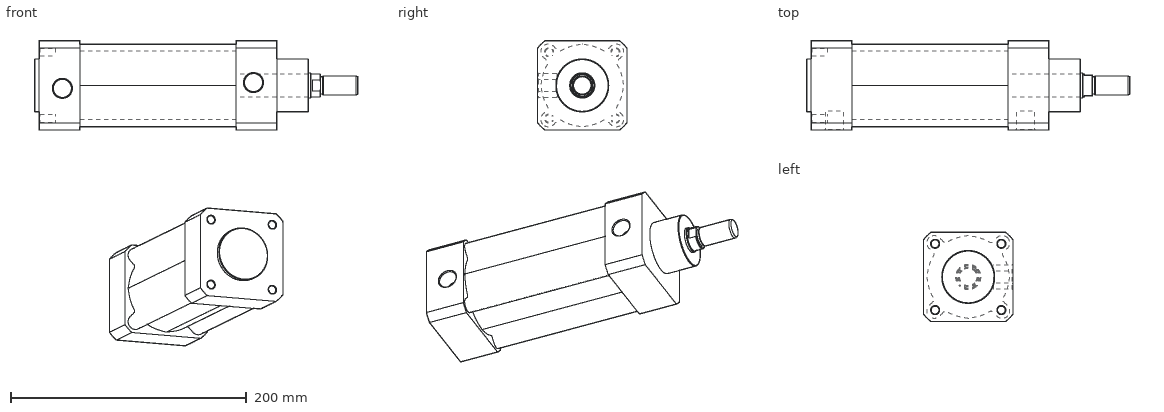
import cadquery as cq
import math

overall_length = 274.0
cap_width = 76.0
cap_length = 34.5
cap_corner_cut = 6.3
barrel_length = 132.3
spigot_length = 3.8
nose_length = 26.9
spigot_radius = 22.5
spigot_chamfer = 0.5

rear_cap_start = spigot_length
barrel_start = rear_cap_start + cap_length
front_cap_start = barrel_start + barrel_length
front_cap_end = front_cap_start + cap_length
nose_end = front_cap_end + nose_length

port_radius = 7.7
port_depth = 16.5
port_chamfer = 0.8
port_inset = 19.7
port_offset = 2.5

fixing_hole_spacing = 56.2
fixing_hole_radius = 3.3
fixing_hole_depth = 13.7
fixing_hole_chamfer = 0.5

barrel_radius = 34.5
ridge_half_width = 6.3
rib_radius = 6.3
rib_centre = 28.8
neck_fillet = 2.0

wiper_radius = 10.7
wiper_length = 2.2
wiper_chamfer = 0.5

rod_radius = 10.0
rod_flat_width = 17.5
rod_flat_gap = 1.0
rod_flat_start = nose_end + wiper_length + rod_flat_gap
rod_shoulder = 242.2
rod_shoulder_chamfer = 0.5
undercut_radius = 7.5
undercut_length = 1.6
thread_start = rod_shoulder + undercut_length
thread_radius = 8.2
thread_chamfer_length = 1.6
thread_chamfer_depth = 0.8


def axial_cylinder(radius, start, end):
    return cq.Workplane("YZ", origin=(start, 0, 0)).circle(radius).extrude(end - start)


def cap_block(start):
    """Square block whose corners are turned to a common diameter."""
    half_width = cap_width / 2
    corner_radius = math.hypot(half_width, half_width - cap_corner_cut)
    square = cq.Workplane("YZ", origin=(start, 0, 0)).rect(cap_width, cap_width).extrude(cap_length)
    return square.intersect(axial_cylinder(corner_radius, start, start + cap_length))


def chamfered_hole(plane, radius, depth, chamfer):
    """Cutter for a blind hole along the normal of the plane, with a chamfered mouth."""
    bore = cq.Workplane(plane).circle(radius).extrude(depth)
    mouth = cq.Workplane(plane).circle(radius + chamfer).workplane(offset=chamfer).circle(radius).loft()
    return bore.union(mouth)


def port(x, z):
    mouth = cq.Plane(origin=(x, -cap_width / 2, z), xDir=(1, 0, 0), normal=(0, 1, 0))
    return chamfered_hole(mouth, port_radius, port_depth, port_chamfer)


def make_rear_cap():
    spigot = axial_cylinder(spigot_radius, 0, spigot_length).faces("<X").chamfer(spigot_chamfer)
    cap = cap_block(rear_cap_start).union(spigot)
    cap = cap.cut(port(rear_cap_start + port_inset, -port_offset))
    half_spacing = fixing_hole_spacing / 2
    for y_side in (-1, 1):
        for z_side in (-1, 1):
            centre = (rear_cap_start, y_side * half_spacing, z_side * half_spacing)
            mouth = cq.Plane(origin=centre, xDir=(0, 1, 0), normal=(1, 0, 0))
            hole = chamfered_hole(mouth, fixing_hole_radius, fixing_hole_depth, fixing_hole_chamfer)
            cap = cap.cut(hole)
    return cap


def turned(point, degrees):
    """Point of the YZ section turned about the cylinder axis."""
    angle = math.radians(degrees)
    y, z = point
    return (y * math.cos(angle) - z * math.sin(angle), y * math.sin(angle) + z * math.cos(angle))


def polar(radius, angle):
    return (radius * math.cos(angle), radius * math.sin(angle))


def make_barrel():
    flat_angle = math.asin(ridge_half_width / barrel_radius)
    flat_end = polar(barrel_radius, flat_angle)
    ridge = (barrel_radius / math.cos(flat_angle), 0)

    diagonal = math.pi / 4
    fillet_orbit = barrel_radius + neck_fillet
    fillet_angle = diagonal - math.asin((rib_radius + neck_fillet) / fillet_orbit)
    fillet_y, fillet_z = polar(fillet_orbit, fillet_angle)
    wall_end = polar(barrel_radius, fillet_angle)
    wall_middle = polar(barrel_radius, (flat_angle + fillet_angle) / 2)

    def on_fillet(angle):
        return (fillet_y + neck_fillet * math.cos(angle), fillet_z + neck_fillet * math.sin(angle))

    neck_normal = diagonal + math.pi / 2
    fillet_middle = on_fillet((neck_normal + fillet_angle + math.pi) / 2)
    neck_start = on_fillet(neck_normal)

    rib_offset = rib_radius * math.sin(diagonal)
    neck_end = (rib_centre + rib_offset, rib_centre - rib_offset)
    rib_tip = (rib_centre + rib_offset, rib_centre + rib_offset)

    def mirrored(point):
        """Mirror image across the diagonal of the quadrant."""
        return (point[1], point[0])

    outline = cq.Workplane("YZ", origin=(barrel_start, 0, 0)).moveTo(*ridge)
    for quarter_turn in (0, 90, 180, 270):

        def place(point, degrees=quarter_turn):
            return turned(point, degrees)

        outline = (
            outline.lineTo(*place(flat_end))
            .threePointArc(place(wall_middle), place(wall_end))
            .threePointArc(place(fillet_middle), place(neck_start))
            .lineTo(*place(neck_end))
            .threePointArc(place(rib_tip), place(mirrored(neck_end)))
            .lineTo(*place(mirrored(neck_start)))
            .threePointArc(place(mirrored(fillet_middle)), place(mirrored(wall_end)))
            .threePointArc(place(mirrored(wall_middle)), place(mirrored(flat_end)))
        )
        if quarter_turn < 270:
            outline = outline.lineTo(*place(ridge, quarter_turn + 90))
    return outline.close().extrude(barrel_length)


def make_front_cap():
    nose = axial_cylinder(spigot_radius, front_cap_end, nose_end).faces(">X").chamfer(spigot_chamfer)
    wiper = axial_cylinder(wiper_radius, nose_end, nose_end + wiper_length)
    wiper = wiper.faces(">X").chamfer(wiper_chamfer)
    cap = cap_block(front_cap_start).union(nose).union(wiper)
    cap = cap.cut(port(front_cap_end - port_inset, port_offset))
    rod_hole = axial_cylinder(rod_radius, front_cap_start, nose_end + wiper_length)
    return cap.cut(rod_hole)


def make_rod():
    shank = axial_cylinder(rod_radius, front_cap_start, rod_flat_start)
    flats_length = rod_shoulder - rod_flat_start
    flats_blank = axial_cylinder(rod_radius, rod_flat_start, rod_shoulder)
    flats_blank = flats_blank.faces(">X").chamfer(rod_shoulder_chamfer)
    flats_limit = (
        cq.Workplane("YZ", origin=(rod_flat_start, 0, 0))
        .rect(rod_flat_width, 2 * rod_radius)
        .extrude(flats_length)
    )
    flats = flats_blank.intersect(flats_limit)

    groove = axial_cylinder(undercut_radius, rod_shoulder, thread_start)
    thread = axial_cylinder(thread_radius, thread_start, overall_length)
    thread = thread.faces("<X").chamfer(thread_radius - undercut_radius)
    thread = thread.faces(">X").chamfer(thread_chamfer_length, thread_chamfer_depth)
    return shank.union(flats).union(groove).union(thread)


rear_cap = make_rear_cap()
barrel = make_barrel()
front_cap = make_front_cap()
rod = make_rod()

result = cq.Compound.makeCompound([rear_cap.val(), barrel.val(), front_cap.val(), rod.val()])